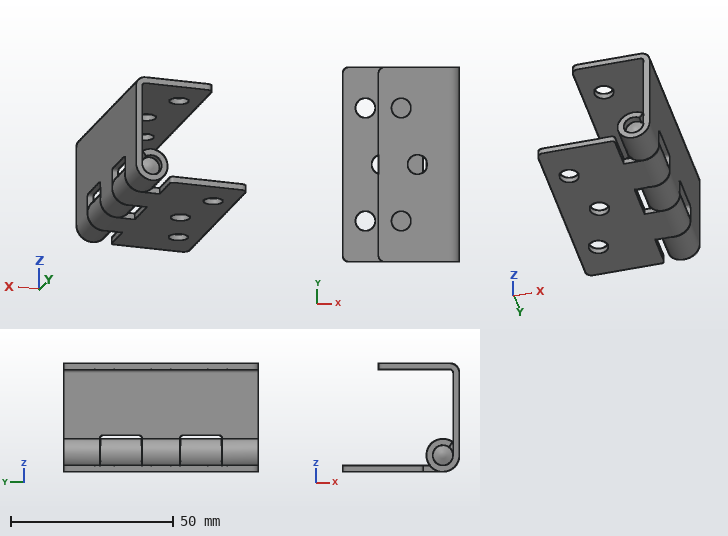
import cadquery as cq
import math

hinge_length = 60.0
hinge_width = 36.0
hinge_height = 33.5

sheet = 2.0
knuckle_radius = 5.1
bore_radius = knuckle_radius - sheet
curl_gap_angle = 53.5
knuckle_clearance = 1.0

middle_knuckle_half = 5.8
side_knuckle_inner = 6.0
side_knuckle_outer = 18.65
end_knuckle_inner = 18.85

flange_length = 24.95
bend_radius = 3.0
slot_corner_radius = 1.0

flat_corner_radius = 1.0

corner_radius = 2.0
hole_diameter = 6.0
outer_hole_setback = 7.0
middle_hole_setback = 12.0
outer_hole_offset = 17.4

pin_recess = 2.2
cone_height = 1.0

half_length = hinge_length / 2
right_face = knuckle_radius
bottom_face = -knuckle_radius
top_face = bottom_face + hinge_height
flat_free_edge = right_face - hinge_width
flange_free_edge = right_face - flange_length
leaf_limit = knuckle_radius + knuckle_clearance
cut_size = 3 * knuckle_radius


def polar(radius, angle):
    """Point in the XZ plane at an angle in degrees from +X."""
    return (radius * math.cos(math.radians(angle)), radius * math.sin(math.radians(angle)))


def y_extrude(profile):
    """Extrude a closed XZ profile over the whole hinge length."""
    return profile.extrude(half_length, both=True)


def box_between(x_range, y_range, z_range):
    """Box spanning the given coordinate ranges."""
    ranges = (x_range, y_range, z_range)
    sizes = [high - low for low, high in ranges]
    centre = tuple((high + low) / 2 for low, high in ranges)
    return cq.Workplane("XY").box(*sizes).translate(centre)


def screw_holes(free_edge, z_face):
    """Cutters for the three staggered screw holes of a leaf resting on z_face."""
    outer_x = free_edge + outer_hole_setback
    middle_x = free_edge + middle_hole_setback
    centres = [(outer_x, -outer_hole_offset), (middle_x, 0), (outer_x, outer_hole_offset)]
    return (
        cq.Workplane("XY", origin=(0, 0, z_face))
        .pushPoints(centres)
        .circle(hole_diameter / 2)
        .extrude(sheet)
    )


def make_bent_leaf():
    """Leaf with a top flange, an upright wall and the two end and middle knuckles."""
    curl_end = curl_gap_angle
    curl_middle = (curl_end - 360) / 2
    inner_bend = bend_radius - sheet
    bend_centre = (right_face - bend_radius, top_face - bend_radius)
    outer_mid = polar(bend_radius, 45)
    inner_mid = polar(inner_bend, 45)
    profile = (
        cq.Workplane("XZ")
        .moveTo(flange_free_edge, top_face)
        .lineTo(bend_centre[0], top_face)
        .threePointArc((bend_centre[0] + outer_mid[0], bend_centre[1] + outer_mid[1]),
                       (right_face, bend_centre[1]))
        .lineTo(right_face, 0)
        .threePointArc(polar(knuckle_radius, curl_middle), polar(knuckle_radius, curl_end))
        .lineTo(*polar(bore_radius, curl_end))
        .threePointArc(polar(bore_radius, curl_middle), (bore_radius, 0))
        .lineTo(bore_radius, bend_centre[1])
        .threePointArc((bend_centre[0] + inner_mid[0], bend_centre[1] + inner_mid[1]),
                       (bend_centre[0], top_face - sheet))
        .lineTo(flange_free_edge, top_face - sheet)
        .close()
    )
    leaf = y_extrude(profile)
    leaf = leaf.faces("<X").edges("|Z").fillet(corner_radius)
    for side in (-1, 1):
        y_range = sorted((side * middle_knuckle_half, side * end_knuckle_inner))
        slot = box_between((-cut_size, cut_size), y_range, (-cut_size, leaf_limit))
        leaf = leaf.cut(slot.faces(">Z").edges("|X").fillet(slot_corner_radius))
    return leaf.cut(screw_holes(flange_free_edge, top_face - sheet))


def make_flat_leaf():
    """Flat bottom leaf whose two knuckles fill the slots of the bent leaf."""
    plate_angle = -90
    curl_end = 270 - curl_gap_angle
    curl_middle = (plate_angle + curl_end) / 2
    profile = (
        cq.Workplane("XZ")
        .moveTo(flat_free_edge, bottom_face)
        .lineTo(0, bottom_face)
        .threePointArc(polar(knuckle_radius, curl_middle), polar(knuckle_radius, curl_end))
        .lineTo(*polar(bore_radius, curl_end))
        .threePointArc(polar(bore_radius, curl_middle), (0, -bore_radius))
        .lineTo(flat_free_edge, -bore_radius)
        .close()
    )
    leaf = y_extrude(profile)
    leaf = leaf.faces("<X").edges("|Z").fillet(corner_radius)
    notches = [
        (-half_length, -side_knuckle_outer),
        (-side_knuckle_inner, side_knuckle_inner),
        (side_knuckle_outer, half_length),
    ]
    for y_range in notches:
        leaf = leaf.cut(box_between((-leaf_limit, cut_size), y_range, (-cut_size, cut_size)))
    for end_face in ("<Y", ">Y"):
        leaf = leaf.faces(end_face).edges("|Z and >X").fillet(flat_corner_radius)
    return leaf.cut(screw_holes(flat_free_edge, bottom_face))


def make_pin():
    """Round pin filling the bore, with a cone at each end."""
    shoulder = half_length - pin_recess
    tip = shoulder + cone_height
    return (
        cq.Workplane("XY")
        .polyline([(0, -tip), (bore_radius, -shoulder), (bore_radius, shoulder), (0, tip)])
        .close()
        .revolve(360, (0, 0, 0), (0, 1, 0))
    )


bent_leaf = make_bent_leaf()
flat_leaf = make_flat_leaf()
pin = make_pin()

result = cq.Compound.makeCompound([bent_leaf.val(), flat_leaf.val(), pin.val()])